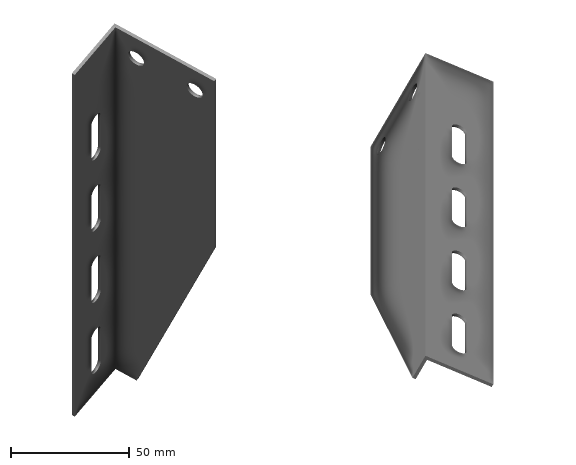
import cadquery as cq

width = 52.0
flange_depth = 32.0
height = 240.0
thickness = 1.5

foot_width = 12.3
taper_height = 122.2

hole_diameter = 8.2
hole_spacing = 30.0
first_hole_x = 12.0
hole_top_margin = 14.0

slot_count = 4
slot_pitch = 50.0
slot_length = 30.0
slot_width = 7.0
first_slot_z = 29.0
slot_y = -flange_depth / 2


def angle_sheet():
    """Square-cornered L-shaped sheet: wide leg along X at the back, narrow leg along -Y."""
    return (
        cq.Workplane("XY")
        .moveTo(0, 0)
        .lineTo(width, 0)
        .lineTo(width, -thickness)
        .lineTo(thickness, -thickness)
        .lineTo(thickness, -flange_depth)
        .lineTo(0, -flange_depth)
        .close()
        .extrude(height)
    )


def taper_cutter():
    """Triangular prism that slopes the free edge of the wide leg down to the foot."""
    return (
        cq.Workplane("XZ")
        .moveTo(foot_width, 0)
        .lineTo(width, 0)
        .lineTo(width, taper_height)
        .close()
        .extrude(flange_depth)
    )


def mounting_hole_cutters():
    """Two round pins through the wide leg."""
    hole_z = height - hole_top_margin
    centers = [(first_hole_x, hole_z), (first_hole_x + hole_spacing, hole_z)]
    return cq.Workplane("XZ").pushPoints(centers).circle(hole_diameter / 2).extrude(thickness)


def slot_cutters():
    """Row of round-ended vertical slots through the narrow leg."""
    centers = [(slot_y, first_slot_z + i * slot_pitch) for i in range(slot_count)]
    return (
        cq.Workplane("YZ")
        .pushPoints(centers)
        .slot2D(slot_length, slot_width, angle=90)
        .extrude(thickness)
    )


result = angle_sheet().cut(taper_cutter()).cut(mounting_hole_cutters()).cut(slot_cutters())